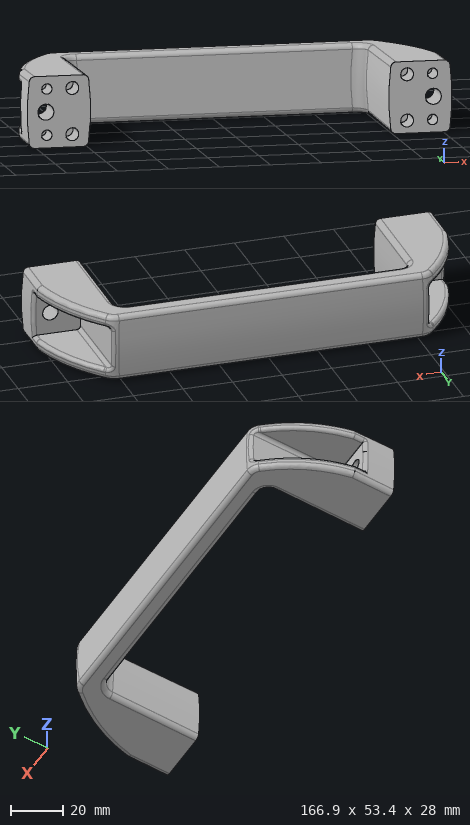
import cadquery as cq
import math

LENGTH = 166.9
DEPTH = 53.4
PAD_HEIGHT = 28.0
DRAFT_ANGLE = 0.55

LEG_WIDTH = 24.9
BAR_THICKNESS = 9.5
SIDE_BULGE = 1.0

SHOULDER_RADIUS = 70.1
SHOULDER_START = 17.7
SHOULDER_LEAN = 11.5

INNER_CORNER_RADIUS = 5.0
OUTER_CORNER_RADIUS = 6.5
EDGE_RADIUS = 2.2
POCKET_RADIUS = 1.5

POCKET_FLOOR = 13.5
POCKET_WALL_X = 64.0
POCKET_WIDTH = 17.5

SCREW_DIAMETER = 6.2
SCREW_X = 76.1
SMALL_HOLE_DIAMETER = 4.0
SMALL_HOLE_X = 75.8
LARGE_HOLE_DIAMETER = 5.0
LARGE_HOLE_X = 65.8
BLIND_HOLE_Z = 9.0
BLIND_HOLE_DEPTH = 10.0

CLEARANCE = 0.2

HALF_LENGTH = LENGTH / 2
HALF_HEIGHT = PAD_HEIGHT / 2
PAD_Y = -DEPTH / 2
BACK_Y = DEPTH / 2
BAR_INNER_Y = BACK_Y - BAR_THICKNESS
POCKET_FLOOR_Y = PAD_Y + POCKET_FLOOR
LEG_INNER_X = -HALF_LENGTH + LEG_WIDTH


def leg_column():
    """Left leg: both X sides are barrel-shaped, extruded from the pad into the bar."""
    outer_edge = -HALF_LENGTH + SIDE_BULGE
    inner_edge = LEG_INNER_X - SIDE_BULGE
    return (
        cq.Workplane("XZ", origin=(0, PAD_Y, 0))
        .moveTo(outer_edge, HALF_HEIGHT)
        .lineTo(inner_edge, HALF_HEIGHT)
        .threePointArc((LEG_INNER_X, 0), (inner_edge, -HALF_HEIGHT))
        .lineTo(outer_edge, -HALF_HEIGHT)
        .threePointArc((-HALF_LENGTH, 0), (outer_edge, HALF_HEIGHT))
        .close()
        .extrude(-(DEPTH - BAR_THICKNESS / 2))
    )


def bar_beam():
    """Left half of the grip bar: flat towards the pads, barrel-shaped at the back."""
    back_edge = BACK_Y - SIDE_BULGE
    return (
        cq.Workplane("YZ", origin=(-HALF_LENGTH, 0, 0))
        .moveTo(BAR_INNER_Y, HALF_HEIGHT)
        .lineTo(back_edge, HALF_HEIGHT)
        .threePointArc((BACK_Y, 0), (back_edge, -HALF_HEIGHT))
        .lineTo(BAR_INNER_Y, -HALF_HEIGHT)
        .close()
        .extrude(HALF_LENGTH)
    )


def shoulder_barrel():
    """Barrel turned about a Z axis; its flank is the crowned shoulder."""
    lean = math.radians(SHOULDER_LEAN)
    center_x = -HALF_LENGTH + SHOULDER_RADIUS * math.cos(lean)
    center_y = PAD_Y + SHOULDER_START - SHOULDER_RADIUS * math.sin(lean)
    rim_radius = SHOULDER_RADIUS - SIDE_BULGE
    return (
        cq.Workplane("XZ")
        .moveTo(0, -HALF_HEIGHT)
        .lineTo(rim_radius, -HALF_HEIGHT)
        .threePointArc((SHOULDER_RADIUS, 0), (rim_radius, HALF_HEIGHT))
        .lineTo(0, HALF_HEIGHT)
        .close()
        .revolve(360, (0, 0, 0), (0, 1, 0))
        .translate((center_x, center_y, 0))
    )


def draft_wedge():
    """Envelope whose Z faces taper from the pads to the back of the bar."""
    back_half_height = HALF_HEIGHT - DEPTH * math.tan(math.radians(DRAFT_ANGLE))
    return (
        cq.Workplane("YZ", origin=(-HALF_LENGTH, 0, 0))
        .polyline([
            (PAD_Y, HALF_HEIGHT),
            (BACK_Y, back_half_height),
            (BACK_Y, -back_half_height),
            (PAD_Y, -HALF_HEIGHT),
        ])
        .close()
        .extrude(HALF_LENGTH)
    )


def edges_in_box(body, x_range, y_range, z_reach):
    """Edges centred in the given X and Y ranges and within z_reach of the middle plane."""
    return body.edges(cq.selectors.BoxSelector(
        (x_range[0], y_range[0], -z_reach),
        (x_range[1], y_range[1], z_reach),
    ))


def screw_pocket():
    """Box that opens the shoulder, leaving a floor in the leg and two side flanges."""
    length = HALF_LENGTH - POCKET_WALL_X
    depth = DEPTH - POCKET_FLOOR
    return (
        cq.Workplane("XY")
        .box(length, depth, POCKET_WIDTH, centered=(False, False, True))
        .edges(">X and |Y")
        .fillet(POCKET_RADIUS)
        .translate((-HALF_LENGTH, POCKET_FLOOR_Y, 0))
    )


def pad_holes(diameter, depth, points):
    """Round holes drilled into the pad face; points are (X, Z)."""
    return (
        cq.Workplane("XZ", origin=(0, PAD_Y, 0))
        .pushPoints(points)
        .circle(diameter / 2)
        .extrude(-depth)
    )


half = leg_column().union(bar_beam()).intersect(shoulder_barrel()).intersect(draft_wedge())
half = edges_in_box(
    half,
    (LEG_INNER_X - SIDE_BULGE, LEG_INNER_X),
    (BAR_INNER_Y - SIDE_BULGE, BAR_INNER_Y + SIDE_BULGE),
    SIDE_BULGE,
).fillet(INNER_CORNER_RADIUS)
half = edges_in_box(
    half,
    (-HALF_LENGTH, LEG_INNER_X),
    (BACK_Y - SIDE_BULGE, BACK_Y + SIDE_BULGE),
    SIDE_BULGE,
).fillet(OUTER_CORNER_RADIUS)

half = half.faces("<Z or >Z").edges("not(<Y or >X)").fillet(EDGE_RADIUS)

half = half.cut(screw_pocket())
pocket_rim = edges_in_box(
    half,
    (-HALF_LENGTH, -POCKET_WALL_X - POCKET_RADIUS - CLEARANCE),
    (POCKET_FLOOR_Y - CLEARANCE, BACK_Y),
    POCKET_WIDTH / 2 + CLEARANCE,
).edges("not |X")
half = pocket_rim.fillet(POCKET_RADIUS)

half = half.cut(pad_holes(SCREW_DIAMETER, POCKET_FLOOR + CLEARANCE, [(-SCREW_X, 0)]))
for diameter, x in ((SMALL_HOLE_DIAMETER, SMALL_HOLE_X), (LARGE_HOLE_DIAMETER, LARGE_HOLE_X)):
    half = half.cut(pad_holes(diameter, BLIND_HOLE_DEPTH, [(-x, BLIND_HOLE_Z), (-x, -BLIND_HOLE_Z)]))

result = half.union(half.mirror("YZ"))